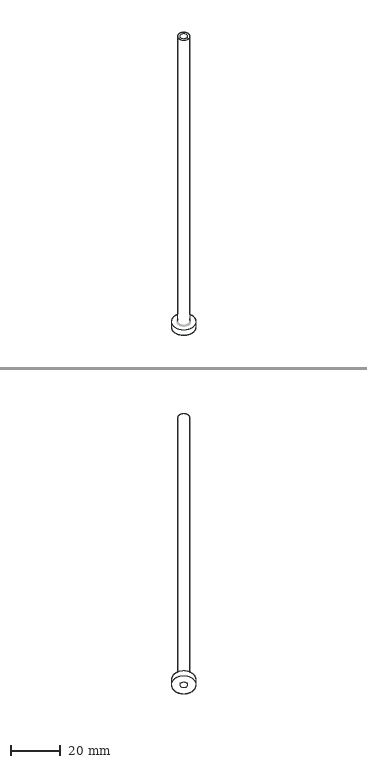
import cadquery as cq

total_length = 160.0
head_diameter = 10.0
head_height = 3.0
tube_diameter = 5.0
bore_diameter = 3.0
neck_fillet_radius = 0.3

head = cq.Workplane("XY").circle(head_diameter / 2).extrude(head_height)
tube = cq.Workplane("XY").circle(tube_diameter / 2).extrude(total_length)
sleeve = head.union(tube)

head_top = sleeve.faces("<Z[1]")
sleeve = head_top.edges(cq.selectors.RadiusNthSelector(0)).fillet(neck_fillet_radius)

bore = cq.Workplane("XY").circle(bore_diameter / 2).extrude(total_length)
result = sleeve.cut(bore)